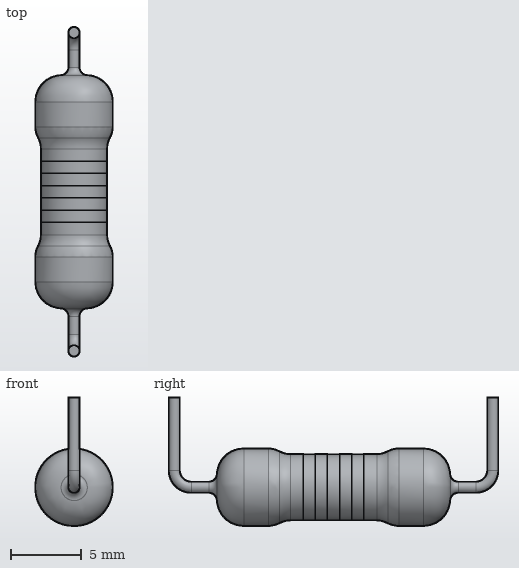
import cadquery as cq
import math


lead_diameter = 0.8
lead_pitch = 22.5
lead_top_z = 6.35
bend_radius = 1.2
lead_fillet = 0.55

body_length = 16.5
cap_radius = 5.5 / 2
waist_radius = 4.7 / 2
cap_rounding = 1.9
cap_inner_y = 4.6
waist_half_length = 3.05

groove_radius = 4.67 / 2
groove_count = 3
band_width = 0.86

lead_radius = lead_diameter / 2
body_end_y = body_length / 2
cap_outer_y = body_end_y - cap_rounding
quarter_arc = math.sqrt(0.5)

shoulder_run = (cap_inner_y - waist_half_length) / 2
shoulder_drop = (cap_radius - waist_radius) / 2
shoulder_radius = (shoulder_run**2 + shoulder_drop**2) / (2 * shoulder_drop)
shoulder_mid_y = waist_half_length + shoulder_run
shoulder_mid_radius = waist_radius + shoulder_drop
shoulder_half_angle = math.atan2(shoulder_run, shoulder_radius - shoulder_drop) / 2
arc_mid_run = shoulder_radius * math.sin(shoulder_half_angle)
arc_mid_drop = shoulder_radius * (1 - math.cos(shoulder_half_angle))

rounding_center_radius = cap_radius - cap_rounding
fillet_center_radius = lead_radius + lead_fillet
contact_angle = math.asin((fillet_center_radius - rounding_center_radius) / (cap_rounding + lead_fillet))
lead_root_y = cap_outer_y + (cap_rounding + lead_fillet) * math.cos(contact_angle)


def cap_rounding_point(angle):
    """Point on the cap rounding, with the angle measured from the axial direction."""
    return (
        rounding_center_radius + cap_rounding * math.sin(angle),
        cap_outer_y + cap_rounding * math.cos(angle),
    )


def lead_fillet_point(angle):
    """Point on the lead fillet, with the angle measured from the axial direction."""
    return (
        fillet_center_radius - lead_fillet * math.sin(angle),
        lead_root_y - lead_fillet * math.cos(angle),
    )


def make_half_body():
    """Revolve the +Y half of the body, from mid-waist to the root of the lead."""
    profile = (
        cq.Workplane("XY")
        .lineTo(waist_radius, 0)
        .lineTo(waist_radius, waist_half_length)
        .threePointArc(
            (waist_radius + arc_mid_drop, waist_half_length + arc_mid_run),
            (shoulder_mid_radius, shoulder_mid_y),
        )
        .threePointArc(
            (cap_radius - arc_mid_drop, cap_inner_y - arc_mid_run),
            (cap_radius, cap_inner_y),
        )
        .lineTo(cap_radius, cap_outer_y)
        .threePointArc(cap_rounding_point(math.pi / 4), cap_rounding_point(contact_angle))
        .threePointArc(lead_fillet_point(math.pi / 4), (lead_radius, lead_root_y))
        .lineTo(0, lead_root_y)
        .close()
    )
    return profile.revolve(360, (0, 0), (0, 1))


def make_lead():
    """Sweep the +Y lead: out along the axis, round the bend and up."""
    lead_y = lead_pitch / 2
    bend_start_y = lead_y - bend_radius
    path = (
        cq.Workplane("YZ")
        .moveTo(lead_root_y, 0)
        .lineTo(bend_start_y, 0)
        .threePointArc(
            (bend_start_y + bend_radius * quarter_arc, bend_radius * (1 - quarter_arc)),
            (lead_y, bend_radius),
        )
        .lineTo(lead_y, lead_top_z)
    )
    section = cq.Workplane("XZ", origin=(0, lead_root_y, 0)).circle(lead_radius)
    return section.sweep(path)


def make_groove(center_y):
    """Ring that is cut from the waist to form one groove."""
    return (
        cq.Workplane("XZ", origin=(0, center_y + band_width / 2, 0))
        .circle(cap_radius)
        .circle(groove_radius)
        .extrude(band_width)
    )


half = make_half_body().union(make_lead())
result = half.union(half.mirror("XZ"))

for index in range(groove_count):
    groove_y = 2 * band_width * (index - (groove_count - 1) / 2)
    result = result.cut(make_groove(groove_y))